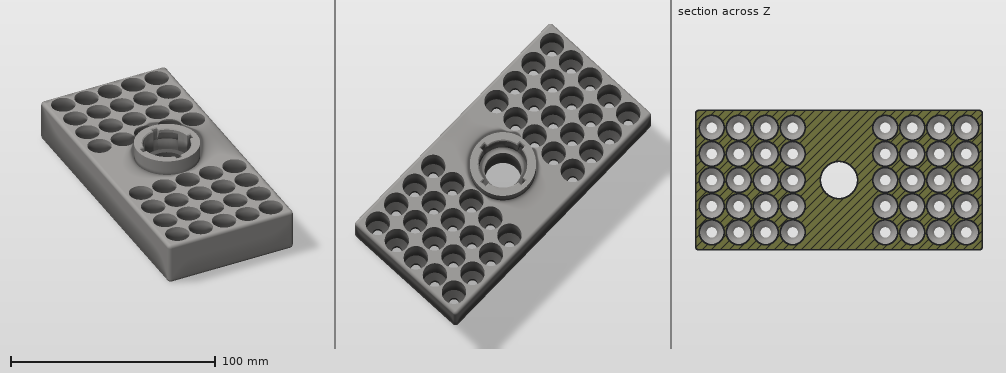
import cadquery as cq

plate_length = 140.8
plate_width = 68.5
plate_height = 22.0
edge_radius = 1.7

total_height = 30.0
collar_diameter = 32.5

socket_diameter = 23.8
socket_floor = 18.0
through_diameter = 18.0
rim_chamfer = 0.5

lock_count = 4
slot_width = 3.0
groove_turn = 53.0
groove_radius = 13.8
groove_top = 27.9
groove_middle = (socket_floor + groove_top) / 2

pocket_columns = 4
pocket_rows = 5
pocket_pitch_x = 13.2
pocket_pitch_y = 12.8
pocket_inner_x = 22.7
pocket_diameter = 12.0
funnel_height = 2.1
drain_diameter = 5.0
drain_depth = 2.8


def make_cylinder(diameter, bottom, top):
    """Upright cylinder on the Z axis."""
    return cq.Workplane("XY").workplane(offset=bottom).circle(diameter / 2).extrude(top - bottom)


def outline_in_xz(points):
    """Closed straight-sided outline of (x, z) points in the XZ plane."""
    return cq.Workplane("XZ").polyline(points).close()


def revolve_about_z(outline, angle):
    """Turn an XZ outline counter-clockwise about the Z axis."""
    return outline.revolve(angle, (0, 0, 0), (0, 1, 0))


def rotate_about_z(shape, angle):
    """Move a shape counter-clockwise about the Z axis."""
    return shape.rotate((0, 0, 0), (0, 0, 1), angle)


def make_plate():
    """Box standing on Z = 0 with every edge rounded."""
    box = cq.Workplane("XY").box(plate_length, plate_width, plate_height, centered=(True, True, False))
    return box.edges().fillet(edge_radius)


def make_lock():
    """Entry slot centred on +X and the V groove that runs clockwise from its middle."""
    inside = through_diameter / 2
    bore = socket_diameter / 2
    lower_slope = [
        (inside, socket_floor),
        (bore, socket_floor),
        (groove_radius, groove_middle),
    ]
    slot_outline = lower_slope + [(groove_radius, total_height), (inside, total_height)]
    groove_outline = lower_slope + [(bore, groove_top), (inside, groove_top)]
    slot = outline_in_xz(slot_outline).extrude(slot_width / 2, both=True)
    groove = revolve_about_z(outline_in_xz(groove_outline), groove_turn)
    return slot.union(rotate_about_z(groove, -groove_turn))


def make_pocket():
    """Round pocket whose conical bottom funnels into a small drain hole."""
    pocket_radius = pocket_diameter / 2
    drain_radius = drain_diameter / 2
    outline = [
        (0, 0),
        (drain_radius, 0),
        (drain_radius, drain_depth),
        (pocket_radius, drain_depth + funnel_height),
        (pocket_radius, plate_height),
        (0, plate_height),
    ]
    return revolve_about_z(outline_in_xz(outline), 360).val()


def pocket_centers():
    """Pocket grid, mirrored to both ends of the plate."""
    centers = []
    for side in (-1, 1):
        for column in range(pocket_columns):
            for row in range(pocket_rows):
                x = side * (pocket_inner_x + column * pocket_pitch_x)
                y = (row - (pocket_rows - 1) / 2) * pocket_pitch_y
                centers.append((x, y))
    return centers


body = make_plate().union(make_cylinder(collar_diameter, plate_height, total_height))
body = body.cut(make_cylinder(socket_diameter, socket_floor, total_height))
body = body.cut(make_cylinder(through_diameter, 0, total_height))

lock = make_lock()
for index in range(lock_count):
    body = body.cut(rotate_about_z(lock, index * 360 / lock_count))

collar_face = body.faces(">Z").val()
mouth_edges = collar_face.innerWires()[0].Edges()
body = body.newObject(mouth_edges).chamfer(rim_chamfer)

pocket = make_pocket()
pockets = cq.Workplane("XY").pushPoints(pocket_centers()).eachpoint(lambda place: pocket.moved(place))
result = body.cut(pockets)